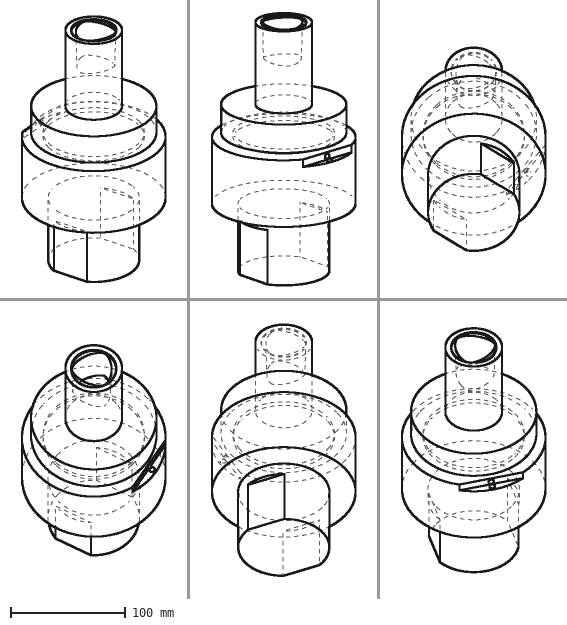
import cadquery as cq
import math

total_height = 230.0
base_diameter = 80.0
base_top = 62.0
collar_diameter = 126.0
collar_top = 123.7
neck_diameter = 88.8
neck_top = 127.9
flange_diameter = 110.0
flange_top = 154.0
shank_diameter = 50.0

flat_to_flat = 71.8
flat_height = 50.4

ledge_wall_offset = 56.0
ledge_depth = 7.0
ledge_floor = collar_top - ledge_depth

dome_diameter = 5.0
dome_height = 2.0
dome_corner_distance = 3.0

recess_diameter = 39.0
recess_depth = 1.2
mouth_chamfer = 0.35
lobe_mean_radius = 17.5
lobe_eccentricity = 1.8
lobe_count = 3
bore_depth = 34.5
bore_taper = 1 / 40
profile_points = 48


def cylinder(diameter, bottom, top):
    return cq.Workplane("XY").workplane(offset=bottom).circle(diameter / 2).extrude(top - bottom)


def stacked_body():
    body = cylinder(base_diameter, 0, base_top)
    body = body.union(cylinder(collar_diameter, base_top, collar_top))
    body = body.union(cylinder(neck_diameter, collar_top, neck_top))
    body = body.union(cylinder(flange_diameter, neck_top, flange_top))
    return body.union(cylinder(shank_diameter, flange_top, total_height))


def wrench_flat_cutter(side):
    width = base_diameter
    return (
        cq.Workplane("XY")
        .center(0, side * (flat_to_flat + width) / 2)
        .rect(width, width)
        .extrude(flat_height)
    )


def ledge_cutter():
    length = collar_diameter
    return (
        cq.Workplane("XY")
        .workplane(offset=ledge_floor)
        .center(-ledge_wall_offset - length / 2, 0)
        .rect(length, length)
        .extrude(ledge_depth)
    )


def dome_ball(base_center, outward):
    """Ball whose cap of dome_height stands proud of a face at base_center."""
    radius = ((dome_diameter / 2) ** 2 + dome_height**2) / (2 * dome_height)
    center = cq.Vector(*base_center) - cq.Vector(*outward) * (radius - dome_height)
    return cq.Workplane("XY").sphere(radius).translate(center)


def lobed_point(angle, mean_radius):
    """Point on the rounded triangle with one lobe toward -Y."""
    phase = lobe_count * (angle + math.pi / 2)
    reach = mean_radius + lobe_eccentricity * math.cos(phase)
    slope = -lobe_count * lobe_eccentricity * math.sin(phase)
    x = reach * math.cos(angle) - slope * math.sin(angle)
    y = reach * math.sin(angle) + slope * math.cos(angle)
    return (x, y)


def lobed_outline(workplane, mean_radius):
    step = 2 * math.pi / profile_points
    points = [lobed_point(i * step, mean_radius) for i in range(profile_points)]
    return workplane.spline(points, periodic=True).close()


def bore_cutter():
    lobed_depth = bore_depth - recess_depth
    floor_radius = lobe_mean_radius - bore_taper * lobed_depth
    lobed_top = cq.Workplane("XY").workplane(offset=total_height - recess_depth)
    mouth = lobed_outline(lobed_top, lobe_mean_radius)
    lobed_bore = lobed_outline(mouth.workplane(offset=-lobed_depth), floor_radius).loft()
    recess = cylinder(recess_diameter, total_height - recess_depth, total_height)
    return lobed_bore.union(recess)


result = stacked_body()
for side in (-1, 1):
    result = result.cut(wrench_flat_cutter(side))
result = result.cut(ledge_cutter())

floor_dome_center = (-ledge_wall_offset - dome_corner_distance, 0, ledge_floor)
wall_dome_center = (-ledge_wall_offset, 0, ledge_floor + dome_corner_distance)
result = result.union(dome_ball(floor_dome_center, (0, 0, 1)))
result = result.union(dome_ball(wall_dome_center, (-1, 0, 0)))

result = result.cut(bore_cutter())
smallest_rim = cq.selectors.RadiusNthSelector(0)
result = result.faces(">Z").edges(smallest_rim).chamfer(mouth_chamfer)